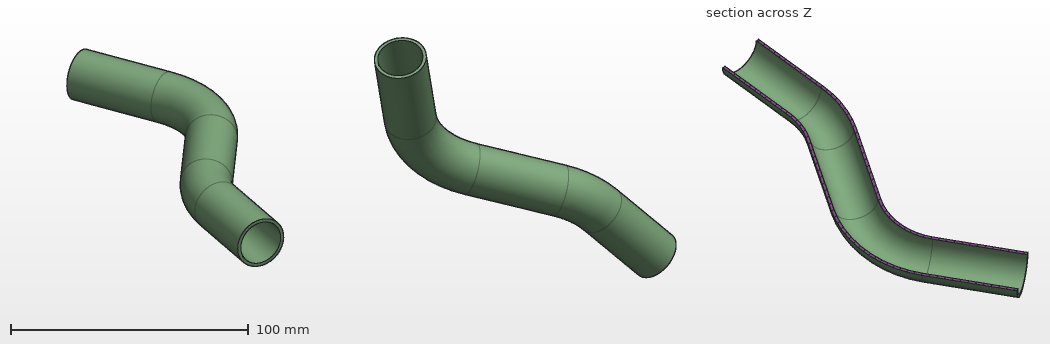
import cadquery as cq
import math

outer_diameter = 22.0
inner_diameter = 19.0
bend_radius = 40.0
bend_angle = 31.6
overall_length = 175.1
overall_width = 54.8
end_straight = 37.8

sine = math.sin(math.radians(bend_angle))
cosine = math.cos(math.radians(bend_angle))
bend_rise = bend_radius * (1 - cosine)
bend_run = bend_radius * sine
apex_height = overall_width - outer_diameter
middle_straight = (apex_height - 2 * bend_rise) / sine
end_face_overhang = outer_diameter / 2 * sine
inclined_run = overall_length - end_face_overhang - 3 * bend_run - end_straight
first_straight = inclined_run / cosine - middle_straight


def arc_points(center, start_angle, end_angle):
    """Return the middle and end points of a bend arc, with angles in degrees."""
    points = []
    for angle in ((start_angle + end_angle) / 2, end_angle):
        angle = math.radians(angle)
        x = center[0] + bend_radius * math.cos(angle)
        y = center[1] + bend_radius * math.sin(angle)
        points.append((x, y))
    return points


first_end = (first_straight * cosine, first_straight * sine)
large_bend_center = (first_end[0] + bend_run, first_end[1] - bend_radius * cosine)
large_bend = arc_points(large_bend_center, 90 + bend_angle, 90 - bend_angle)
large_bend_end = large_bend[1]
middle_end = (
    large_bend_end[0] + middle_straight * cosine,
    large_bend_end[1] - middle_straight * sine,
)
small_bend_center = (middle_end[0] + bend_run, middle_end[1] + bend_radius * cosine)
small_bend = arc_points(small_bend_center, 270 - bend_angle, 270)
small_bend_end = small_bend[1]
tube_end = (small_bend_end[0] + end_straight, small_bend_end[1])

centreline = (
    cq.Workplane("XY")
    .lineTo(*first_end)
    .threePointArc(*large_bend)
    .lineTo(*middle_end)
    .threePointArc(*small_bend)
    .lineTo(*tube_end)
)

end_face = cq.Plane(origin=(0, 0, 0), xDir=(0, 0, 1), normal=(cosine, sine, 0))
result = (
    cq.Workplane(end_face)
    .circle(outer_diameter / 2)
    .circle(inner_diameter / 2)
    .sweep(centreline)
)